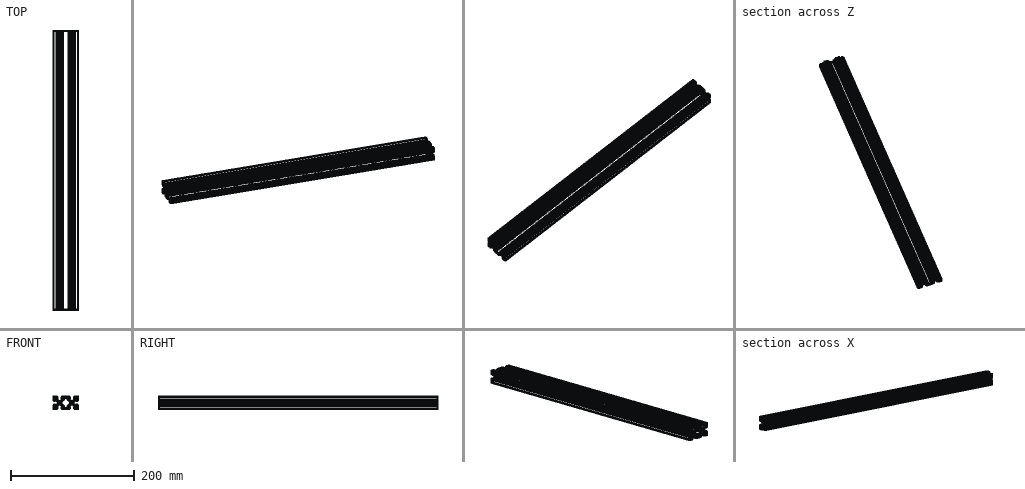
import cadquery as cq
import math

MODULE = 20.0
LENGTH = 453.0
HALF = MODULE / 2
BORE_SPACING = MODULE

MOUTH_HALF = 4.9
POCKET_HALF = 5.5
LIP_DEPTH = 1.8
FLOOR_DEPTH = 7.2

BORE_DIAMETER = 4.2
WEB_THICKNESS = 1.5
CHAMBER_NECK_HALF = 2.7

THROAT_HALF = MOUTH_HALF - LIP_DEPTH
LIP_BACK = HALF - LIP_DEPTH
FLOOR = HALF - FLOOR_DEPTH
WEB_OFFSET = WEB_THICKNESS / math.sqrt(2)
POCKET_SHOULDER = POCKET_HALF + WEB_OFFSET
FLOOR_HALF = FLOOR - WEB_OFFSET


def bar(sketch):
    """Extrude an XZ profile along the full length, centred on Y = 0."""
    return sketch.extrude(LENGTH / 2, both=True)


def body():
    """Solid bar of the outer size."""
    return bar(cq.Workplane("XZ").rect(2 * MODULE, MODULE))


def slot(module_x, angle):
    """V-slot cutter opening upward, turned by angle about its module centre."""
    right_side = [
        (MOUTH_HALF, HALF),
        (THROAT_HALF, LIP_BACK),
        (POCKET_HALF, LIP_BACK),
        (POCKET_HALF, POCKET_SHOULDER),
        (FLOOR_HALF, FLOOR),
    ]
    left_side = [(-x, z) for x, z in reversed(right_side)]
    cutter = bar(cq.Workplane("XZ").polyline(right_side + left_side).close())
    return cutter.rotate((0, 0, 0), (0, 1, 0), angle).translate((module_x, 0, 0))


def chamber():
    """Hollow between the two cores, bounded by the 45 degree webs."""
    core_wall = BORE_SPACING / 2 - FLOOR
    web_inner_sum = BORE_SPACING / 2 - WEB_OFFSET
    upper_right = [
        (core_wall, web_inner_sum - core_wall),
        (CHAMBER_NECK_HALF, web_inner_sum - CHAMBER_NECK_HALF),
        (CHAMBER_NECK_HALF, LIP_BACK),
    ]
    upper_left = [(-x, z) for x, z in reversed(upper_right)]
    upper = upper_right + upper_left
    lower = [(-x, -z) for x, z in upper]
    return bar(cq.Workplane("XZ").polyline(upper + lower).close())


def bore(module_x):
    """Through bore along the axis of one core."""
    return bar(cq.Workplane("XZ").center(module_x, 0).circle(BORE_DIAMETER / 2))


result = body().cut(chamber())
for side in (-1, 1):
    module_x = side * BORE_SPACING / 2
    for angle in (0, side * 90, 180):
        result = result.cut(slot(module_x, angle))
    result = result.cut(bore(module_x))